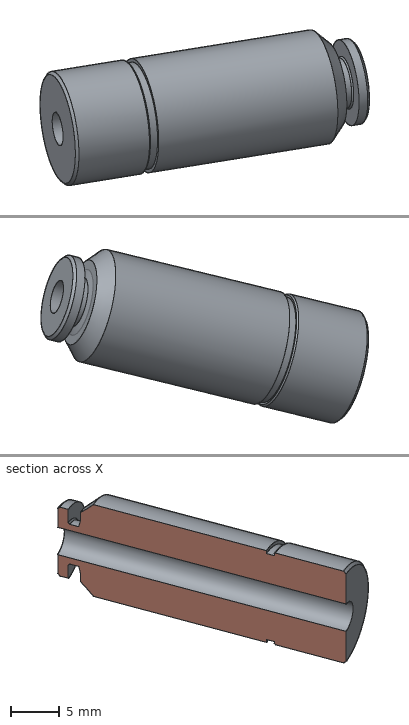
import cadquery as cq

length = 32.6
body_diameter = 11.95
bore_diameter = 3.5

front_chamfer = 0.3
groove_diameter = 11.2
groove_start = 8.0
groove_end = 9.0
groove_edge_chamfer = 0.15

collar_diameter = 9.0
collar_thickness = 1.25
collar_chamfer = 0.3
neck_diameter = 5.2
neck_length = 1.35
shoulder_cone_diameter = 6.98
shoulder_cone_height = 0.2
collar_root_diameter = 5.55
collar_root_height = 0.15

body_radius = body_diameter / 2
bore_radius = bore_diameter / 2
groove_radius = groove_diameter / 2
collar_radius = collar_diameter / 2
neck_radius = neck_diameter / 2
shoulder_cone_radius = shoulder_cone_diameter / 2
collar_root_radius = collar_root_diameter / 2

front = -length / 2
back = length / 2
collar_front = back - collar_thickness
shoulder = collar_front - neck_length
taper_start = shoulder - (body_radius - collar_radius)

half_section = [
    (bore_radius, front),
    (body_radius - front_chamfer, front),
    (body_radius, front + front_chamfer),
    (body_radius, front + groove_start),
    (body_radius - groove_edge_chamfer, front + groove_start + groove_edge_chamfer),
    (groove_radius, front + groove_start + groove_edge_chamfer),
    (groove_radius, front + groove_end),
    (body_radius, front + groove_end),
    (body_radius, taper_start),
    (collar_radius, shoulder),
    (shoulder_cone_radius, shoulder),
    (neck_radius, shoulder + shoulder_cone_height),
    (neck_radius, collar_front - collar_root_height),
    (collar_root_radius, collar_front),
    (collar_radius, collar_front),
    (collar_radius, back - collar_chamfer),
    (collar_radius - collar_chamfer, back),
    (bore_radius, back),
]

result = cq.Workplane("XY").polyline(half_section).close().revolve(360, (0, 0, 0), (0, 1, 0))